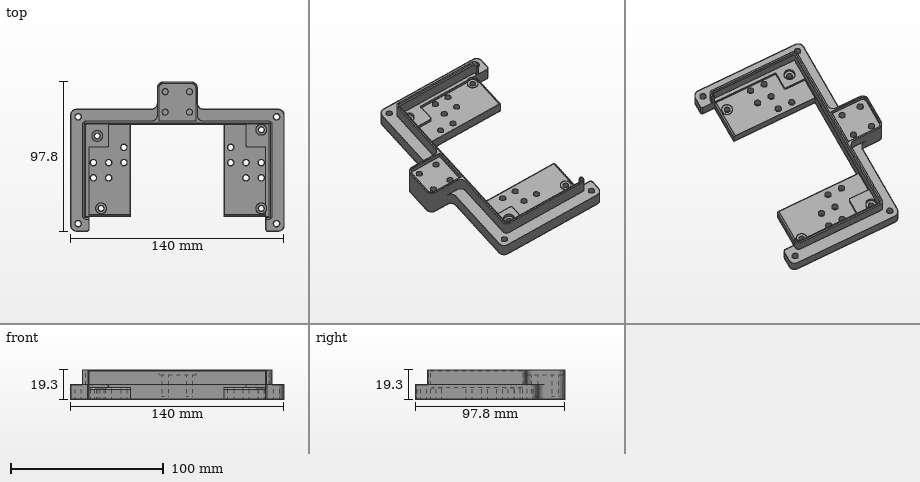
import cadquery as cq

plate_length = 140.0
plate_width = 80.0
total_height = 19.32
plate_height = total_height / 2
corner_radius = 4.0
arm_inner_x = 57.8
arm_end_chamfer = 1.0

opening_back_y = 30.0
wall_inner_x = 60.2
wall_inner_y = 30.2
wall_thickness = 1.95
wall_outer_x = wall_inner_x + wall_thickness
wall_outer_y = wall_inner_y + wall_thickness
wall_inner_radius = 0.5
wall_outer_radius = wall_inner_radius + wall_thickness
rim_chamfer = 0.9
return_end_chamfer = 0.7

tab_width = 26.2
tab_back_y = 57.85
tab_rim = 1.0
tab_pocket_depth = 3.32
tab_fillet_radius = 4.0

pad_inner_x = 30.7
pad_drop = 2.0
pad_height = plate_height - pad_drop
pad_chamfer = 1.1
raised_corner_x = 45.1
raised_corner_y = 15.1
raised_corner_radius = 1.0

hole_diameter = 4.0
frame_hole_x = 65.0
frame_hole_y = 35.0
grid_pitch = 10.0
grid_x = 45.0
grid_y = 5.0
tab_hole_spacing_x = 15.9
tab_hole_spacing_y = 13.4
tab_hole_center_y = 44.75
tab_hole_floor = 2.0
screw_diameter = 3.7
counterbore_diameter = 7.1
counterbore_depth = 0.25
counterbore_floor = pad_height - counterbore_depth
screw_points = [(-52.5, 22.5), (55.0, 26.5), (-50.0, -25.0), (55.0, -25.0)]

pick_margin = 0.1


def block(x_range, y_range, z_range):
    """Box spanning the given (low, high) ranges."""
    size = [high - low for low, high in (x_range, y_range, z_range)]
    corner = (x_range[0], y_range[0], z_range[0])
    return cq.Workplane("XY").box(*size, centered=False).translate(corner)


def cylinders(points, diameter, bottom, top):
    """Upright cylinders at the given points."""
    base = cq.Workplane("XY").workplane(offset=bottom)
    return base.pushPoints(points).circle(diameter / 2).extrude(top - bottom)


def make_tab(front_y, height):
    """Tab running from front_y to the back, with rounded back corners."""
    tab = block((-tab_width / 2, tab_width / 2), (front_y, tab_back_y), (0, height))
    return tab.edges("|Z and >Y").fillet(corner_radius)


def fillet_tab_roots(body, edge_y, bottom, top):
    """Round the two inside corners where the tab meets a face at edge_y."""
    for side in (-1, 1):
        x = side * tab_width / 2
        root = cq.selectors.BoxSelector(
            (x - pick_margin, edge_y - pick_margin, bottom - pick_margin),
            (x + pick_margin, edge_y + pick_margin, top + pick_margin),
        )
        body = body.edges("|Z").edges(root).fillet(tab_fillet_radius)
    return body


def opening(back_y, bottom, top):
    """Space inside the frame, running out through the front between the arms."""
    return block((-arm_inner_x, arm_inner_x), (-plate_width, back_y), (bottom, top))


def chamfer_opening_ends(body, end_y, size):
    """Chamfer the inner front corners on both sides of the opening."""
    ends = cq.selectors.BoxSelector(
        (-arm_inner_x - pick_margin, end_y - pick_margin, -pick_margin),
        (arm_inner_x + pick_margin, end_y + pick_margin, total_height + pick_margin),
    )
    return body.edges("|Z").edges(ends).chamfer(size)


def make_plate():
    """Lower U-shaped plate, with the tab rounded into its back edge."""
    plate = cq.Workplane("XY").rect(plate_length, plate_width).extrude(plate_height)
    plate = plate.edges("|Z").fillet(corner_radius)
    plate = plate.union(make_tab(0, plate_height))
    plate = fillet_tab_roots(plate, plate_width / 2, 0, plate_height)
    plate = plate.cut(opening(opening_back_y, 0, plate_height))
    return chamfer_opening_ends(plate, -plate_width / 2, arm_end_chamfer)


def make_wall():
    """Upper wall with a chamfered inner rim, short front returns and the tab."""
    wall = cq.Workplane("XY").rect(2 * wall_outer_x, 2 * wall_outer_y).extrude(total_height)
    wall = wall.edges("|Z").fillet(wall_outer_radius)
    wall = wall.union(make_tab(0, total_height))
    wall = fillet_tab_roots(wall, wall_outer_y, 0, total_height)
    wall = wall.intersect(
        block((-plate_length, plate_length), (-plate_length, plate_length), (plate_height, total_height))
    )
    cavity = block(
        (-wall_inner_x, wall_inner_x), (-wall_inner_y, wall_inner_y), (plate_height, total_height)
    )
    cavity = cavity.edges("|Z").fillet(wall_inner_radius)
    rim_outline = cq.Sketch().rect(2 * (wall_inner_x + rim_chamfer), 2 * (wall_inner_y + rim_chamfer))
    rim_outline = rim_outline.vertices().fillet(wall_inner_radius + rim_chamfer)
    rim_plane = cq.Workplane("XY").workplane(offset=total_height)
    rim = rim_plane.placeSketch(rim_outline).extrude(-rim_chamfer, taper=45)
    wall = wall.cut(cavity).cut(rim).cut(opening(wall_inner_y, plate_height, total_height))
    return chamfer_opening_ends(wall, -wall_outer_y, return_end_chamfer)


def make_tab_pocket():
    """Shallow recess in the top of the tab, leaving a thin rim on three sides."""
    half_width = tab_width / 2 - tab_rim
    pocket = block(
        (-half_width, half_width),
        (wall_outer_y, tab_back_y - tab_rim),
        (total_height - tab_pocket_depth, total_height),
    )
    return pocket.edges("|Z and >Y").fillet(corner_radius - tab_rim)


def make_pad(side):
    """Mounting pad on one side, with a raised corner at the back."""
    pad = block((pad_inner_x, arm_inner_x), (-wall_inner_y, wall_inner_y), (0, pad_height))
    pad = pad.edges("<Y and >Z").chamfer(pad_chamfer)
    raised = block((raised_corner_x, arm_inner_x), (raised_corner_y, wall_inner_y), (0, plate_height))
    raised = raised.edges("|Z and <X and <Y").fillet(raised_corner_radius)
    pad = pad.union(raised)
    return pad if side > 0 else pad.mirror("YZ")


def make_holes():
    """Frame, pad and tab holes, all of one diameter."""
    frame_points = [(x, y) for x in (-frame_hole_x, frame_hole_x) for y in (-frame_hole_y, frame_hole_y)]
    pattern = [(-1, 1), (-1, 0), (0, 0), (1, 0), (0, -1), (1, -1)]
    pad_points = [
        (side * (grid_x + column * grid_pitch), grid_y + row * grid_pitch)
        for side in (-1, 1)
        for column, row in pattern
    ]
    tab_points = [
        (i * tab_hole_spacing_x / 2, tab_hole_center_y + j * tab_hole_spacing_y / 2)
        for i in (-1, 1)
        for j in (-1, 1)
    ]
    holes = cylinders(frame_points + pad_points, hole_diameter, 0, total_height)
    return holes.union(cylinders(tab_points, hole_diameter, tab_hole_floor, total_height))


def make_screw_holes():
    """Counterbored through holes in the pads."""
    shanks = cylinders(screw_points, screw_diameter, 0, total_height)
    return shanks.union(cylinders(screw_points, counterbore_diameter, counterbore_floor, plate_height))


result = make_plate().union(make_wall())
for pad_side in (-1, 1):
    result = result.union(make_pad(pad_side))
result = result.cut(make_tab_pocket()).cut(make_holes()).cut(make_screw_holes())